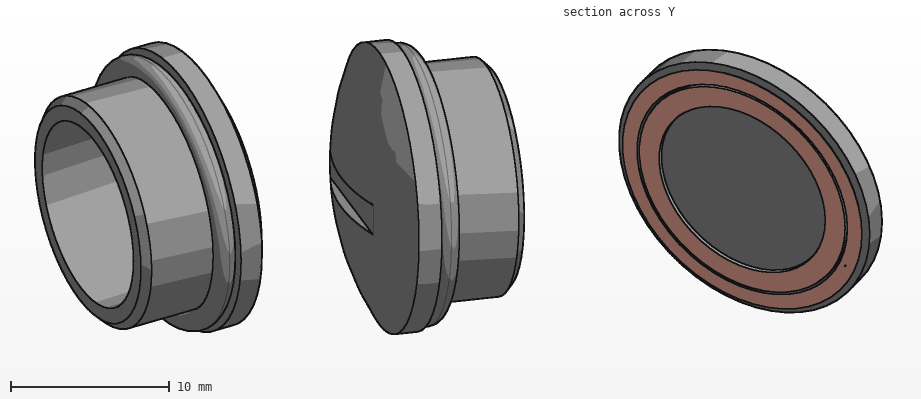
import cadquery as cq

flange_radius = 9.25
flange_thickness = 1.5
dome_height = 2.5
body_radius = 7.6
body_length = 6.0
body_chamfer = 0.5
bore_radius = 6.1
bore_depth = body_length
ring_tube_radius = 0.7
ring_embed = 0.02
slot_width = 2.0
slot_depth = 0.7

dome_top = flange_thickness + dome_height
dome_sphere_radius = (flange_radius**2 + dome_height**2) / (2 * dome_height)
dome_center = dome_top - dome_sphere_radius
arc_mid_radius = flange_radius / 2
arc_mid_y = dome_center + (dome_sphere_radius**2 - arc_mid_radius**2) ** 0.5


def make_plug():
    """Domed flange and chamfered body, revolved about the Y axis."""
    profile = (
        cq.Workplane("XY")
        .moveTo(0, -body_length)
        .lineTo(body_radius - body_chamfer, -body_length)
        .lineTo(body_radius, -body_length + body_chamfer)
        .lineTo(body_radius, 0)
        .lineTo(flange_radius, 0)
        .lineTo(flange_radius, flange_thickness)
        .threePointArc((arc_mid_radius, arc_mid_y), (0, dome_top))
        .close()
    )
    return profile.revolve(360, (0, 0, 0), (0, 1, 0))


def make_ring():
    """Round sealing ring seated in the corner between body and flange."""
    ring_radius = body_radius + ring_tube_radius - ring_embed
    ring_y = ring_embed - ring_tube_radius
    section = cq.Workplane("XY").center(ring_radius, ring_y).circle(ring_tube_radius)
    return section.revolve(360, (-ring_radius, 0, 0), (-ring_radius, 1, 0))


def make_bore():
    """Blind round bore from the open end."""
    open_end = cq.Workplane("XZ", origin=(0, -body_length, 0))
    return open_end.circle(bore_radius).extrude(-bore_depth)


def make_slot():
    """Flat-bottomed screwdriver slot along X across the dome."""
    slot = cq.Workplane("XY").box(2 * flange_radius, slot_depth, slot_width)
    return slot.translate((0, dome_top - slot_depth / 2, 0))


result = make_plug().union(make_ring()).cut(make_bore()).cut(make_slot())